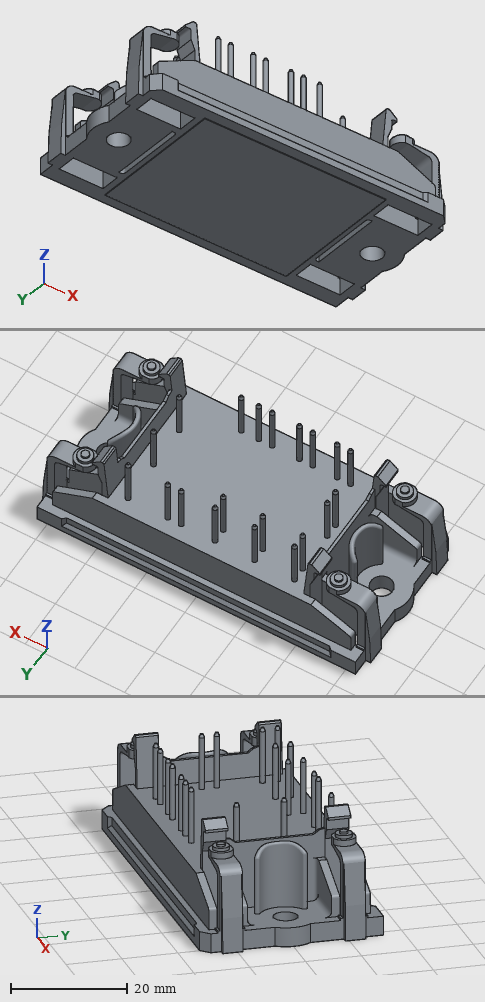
import cadquery as cq
import math

plate_length = 39.2
plate_width = 28.25
plate_thickness = 0.2
frame_length = 64.0
frame_width = 32.5
frame_bottom = plate_thickness
frame_top = 3.7
corner_chamfer = 1.6
overall_length = 66.0
hole_diameter = 4.3
hole_x = 27.45
lobe_radius = overall_length / 2 - hole_x

recess_length = 54.1
recess_bottom = 1.6
recess_depth = 0.63
recess_bevel_angle = 45

housing_width = 28.9
housing_top = 11.19
rib_tip_x = 30.0
rib_tip_top = 7.45
rib_tip_fillet = 0.65
slope_start_x = 22.0
rib_inner_y = 7.5
rib_foot_fillet = 1.1
end_slot_outer_x = 21.65
end_slot_inner_x = 20.65
end_slot_corner_radius = 0.6

arm_width = 4.0
arm_y = 10.99
arm_outer_x = frame_length / 2
arm_inner_x = 30.4
arm_top = 15.5
arm_shoulder_x = 30.0
arm_shoulder_z = 14.05
arm_inner_radius = 1.05
arm_inner_corner_z = 14.2
arm_end_bottom = 15.05
arm_wedge_width = 3.6
wedge_break_x = 32.8
wedge_break_z = 6.55
wedge_foot_x = 33.0
foot_width = 4.9
foot_top = 4.1
stud_x = 25.5
boss_diameter = 4.3
boss_top = 16.6
collar_diameter = 3.0
collar_top = 17.2
knob_diameter = 1.5
knob_top = 17.6

clip_inner_x = 19.7
clip_outer_x = 20.9
clip_tip_inner_x = 20.5
clip_tip_outer_x = 21.25
clip_top = 20.6
clip_neck_x = 21.7
clip_neck_bottom = 16.55
clip_neck_foot = 14.65
tooth_x = 22.9
tooth_top = 19.2
tooth_bottom = 18.75
clip_tip_chamfer = 0.25
tooth_root_fillet = 0.4
wall_top = 15.5
wall_shoulder_top = 16.5
wall_flat_half_width = 6.9
wall_knee_half_width = 7.9
wall_knee_top = 16.25

guard_inner_radius = 4.6
guard_outer_radius = 5.6
guard_half_angle = 61
guard_width = 10.15
guard_top = 15.6
guard_corner_radius = 3.3
guard_rim_fillet = 0.45

pin_diameter = 1.0
pin_shoulder = 20.65
pin_top = 21.25
pin_tip_chamfer = 0.25
pin_pitch = 2.7
left_column_x = -16.75
right_column_x = 16.7
back_row_y = 11.3
inner_row_y = back_row_y - pin_pitch
front_row_y = -11.15
back_row_x = (left_column_x, -8.745, -0.8, 6.0, 6.0 + pin_pitch, right_column_x)
inner_row_x = back_row_x[:3]
front_pair_x = (-14.45, -6.85, 1.3)
front_single_x = 7.5
left_column_y = (0.4, 0.4 - pin_pitch)
right_column_y = (2.85, -5.7)


def box(x_min, x_max, y_min, y_max, z_min, z_max):
    """Box given by its limits along each axis."""
    size = (x_max - x_min, y_max - y_min, z_max - z_min)
    return cq.Workplane("XY").box(*size, centered=False).translate((x_min, y_min, z_min))


def cylinder(x, y, diameter, z_min, z_max):
    """Upright cylinder between two heights."""
    disc = cq.Workplane("XY", origin=(x, y, z_min)).circle(diameter / 2)
    return disc.extrude(z_max - z_min)


def prism_along_y(outline, y_center, width):
    """Extrude an XZ sketch along Y, centred on y_center."""
    return outline.extrude(width / 2, both=True).translate((0, y_center, 0))


def both_ends(end_part):
    """A feature at the -X end together with its mirror image at the +X end."""
    return end_part.union(end_part.mirror("YZ"))


def make_frame():
    frame = box(-frame_length / 2, frame_length / 2, -frame_width / 2, frame_width / 2,
                frame_bottom, frame_top)
    frame = frame.edges("|Z and <Y").chamfer(corner_chamfer)
    for x in (-hole_x, hole_x):
        frame = frame.union(cylinder(x, 0, 2 * lobe_radius, frame_bottom, frame_top))
    plate = box(-plate_length / 2, plate_length / 2, -plate_width / 2, plate_width / 2,
                0, plate_thickness)
    return frame.union(plate)


def make_side_recess():
    """Cutter for the -Y face; it is open at the top of the frame."""
    height = 2 * (frame_top - recess_bottom)
    center_z = recess_bottom + height / 2
    face = cq.Workplane("XZ", origin=(0, -frame_width / 2, center_z)).rect(recess_length, height)
    return face.extrude(-recess_depth, taper=recess_bevel_angle)


def make_housing():
    outline = cq.Workplane("XZ").polyline([
        (-rib_tip_x, frame_bottom),
        (-rib_tip_x, rib_tip_top),
        (-slope_start_x, housing_top),
        (slope_start_x, housing_top),
        (rib_tip_x, rib_tip_top),
        (rib_tip_x, frame_bottom),
    ]).close()
    housing = prism_along_y(outline, 0, housing_width)
    for side in ("<X", ">X"):
        housing = housing.faces(side).edges(">Z").fillet(rib_tip_fillet)
    return housing


def make_end_bay():
    """Cutter for the open bay between the inner ribs, rounded at the foot of the ribs."""
    bay = box(-overall_length / 2, -end_slot_outer_x, -rib_inner_y, rib_inner_y,
              frame_top, clip_top)
    return bay.edges("|X and <Z").fillet(rib_foot_fillet)


def make_end_slot():
    """Through slot between the bay floor and the clip wall, as wide as the bay."""
    slot = box(-end_slot_outer_x, -end_slot_inner_x, -rib_inner_y, rib_inner_y, 0, clip_top)
    return slot.edges("|Z and >X").fillet(end_slot_corner_radius)


def make_arm_window(y):
    """Through opening below an arm, between two ribs."""
    return box(-arm_inner_x, -clip_outer_x, y - arm_width / 2, y + arm_width / 2, 0, clip_top)


def make_arm(y):
    run = arm_outer_x - arm_shoulder_x
    drop = arm_top - arm_shoulder_z
    radius = (run ** 2 + drop ** 2) / (2 * drop)
    half_sweep = math.asin(run / radius) / 2
    shoulder_middle = (-arm_shoulder_x - radius * math.sin(half_sweep),
                       arm_top - radius * (1 - math.cos(half_sweep)))

    outline = (
        cq.Workplane("XZ")
        .moveTo(-stud_x, arm_end_bottom)
        .lineTo(-arm_inner_x, arm_inner_corner_z)
        .lineTo(-arm_inner_x, frame_bottom)
        .lineTo(-arm_outer_x, frame_bottom)
        .lineTo(-arm_outer_x, arm_shoulder_z)
        .threePointArc(shoulder_middle, (-arm_shoulder_x, arm_top))
        .lineTo(-stud_x, arm_top)
        .close()
    )
    arm = prism_along_y(outline, y, arm_width)
    inner_corner = cq.selectors.NearestToPointSelector((-arm_inner_x, y, arm_inner_corner_z))
    arm = arm.edges(inner_corner).fillet(arm_inner_radius)

    wedge = cq.Workplane("XZ").polyline([
        (-arm_outer_x, frame_bottom),
        (-wedge_foot_x, frame_bottom),
        (-wedge_break_x, wedge_break_z),
        (-arm_outer_x, arm_shoulder_z),
        (-arm_inner_x, arm_shoulder_z),
        (-arm_inner_x, frame_bottom),
    ]).close()
    arm = arm.union(prism_along_y(wedge, y, arm_wedge_width))
    foot = box(-arm_outer_x, -arm_inner_x, y - foot_width / 2, y + foot_width / 2,
               frame_bottom, foot_top)
    return arm.union(foot).union(make_stud(y))


def make_stud(y):
    """Boss trimmed flush with the arm sides, carrying a collar and a knob."""
    boss = cylinder(-stud_x, y, boss_diameter, arm_end_bottom, boss_top)
    boss = boss.intersect(box(-overall_length / 2, 0, y - arm_width / 2, y + arm_width / 2,
                              0, boss_top))
    collar = cylinder(-stud_x, y, collar_diameter, boss_top, collar_top)
    knob = cylinder(-stud_x, y, knob_diameter, collar_top, knob_top)
    return boss.union(collar).union(knob)


def make_clip(y):
    outline = cq.Workplane("XZ").polyline([
        (-clip_inner_x, frame_top),
        (-clip_inner_x, housing_top),
        (-clip_tip_inner_x, clip_top),
        (-clip_tip_outer_x, clip_top),
        (-tooth_x, tooth_top),
        (-tooth_x, tooth_bottom),
        (-clip_neck_x, tooth_bottom),
        (-clip_neck_x, clip_neck_bottom),
        (-clip_outer_x, clip_neck_foot),
        (-clip_outer_x, frame_top),
    ]).close()
    clip = prism_along_y(outline, y, arm_width)
    tooth_root = cq.selectors.NearestToPointSelector((-clip_neck_x, y, tooth_bottom))
    clip = clip.edges(tooth_root).fillet(tooth_root_fillet)
    return clip.edges("|Y").edges(">Z").edges(">X").chamfer(clip_tip_chamfer)


def make_clip_wall():
    """Thin wall between the clips, leaning like their backs and rising towards them."""
    slice_outline = cq.Workplane("XZ").polyline([
        (-end_slot_inner_x, frame_top),
        (-end_slot_inner_x, clip_top),
        (-clip_tip_inner_x, clip_top),
        (-clip_inner_x, housing_top),
        (-clip_inner_x, frame_top),
    ]).close()
    wall_half_width = arm_y - arm_width / 2
    slab = prism_along_y(slice_outline, 0, 2 * wall_half_width)
    elevation = cq.Workplane("YZ").polyline([
        (-wall_half_width, frame_top),
        (-wall_half_width, wall_shoulder_top),
        (-wall_knee_half_width, wall_knee_top),
        (-wall_flat_half_width, wall_top),
        (wall_flat_half_width, wall_top),
        (wall_knee_half_width, wall_knee_top),
        (wall_half_width, wall_shoulder_top),
        (wall_half_width, frame_top),
    ]).close().extrude(-overall_length / 2)
    return slab.intersect(elevation)


def make_guard():
    """Sector of a tube around the mounting hole, with an arched and rounded rim."""
    angle = math.radians(guard_half_angle)

    def on_arc(radius, direction):
        return (radius * math.cos(direction) - hole_x, radius * math.sin(direction))

    sector = (
        cq.Workplane("XY", origin=(0, 0, frame_bottom))
        .moveTo(*on_arc(guard_inner_radius, -angle))
        .threePointArc(on_arc(guard_inner_radius, 0), on_arc(guard_inner_radius, angle))
        .lineTo(*on_arc(guard_outer_radius, angle))
        .threePointArc(on_arc(guard_outer_radius, 0), on_arc(guard_outer_radius, -angle))
        .close()
        .extrude(guard_top - frame_bottom)
    )
    arch = box(-hole_x, 0, -guard_width / 2, guard_width / 2, 0, guard_top)
    arch = arch.edges("|X and >Z").fillet(guard_corner_radius)
    guard = sector.intersect(arch)
    return guard.edges("not <Z").fillet(guard_rim_fillet)


def make_pin(x, y):
    pin = cylinder(x, y, pin_diameter, frame_top, pin_top)
    return pin.faces(">Z").chamfer(pin_top - pin_shoulder, pin_tip_chamfer)


def pin_positions():
    positions = [(x, back_row_y) for x in back_row_x]
    positions += [(x, inner_row_y) for x in inner_row_x]
    positions += [(x + step, front_row_y) for x in front_pair_x for step in (0, pin_pitch)]
    positions += [(front_single_x, front_row_y)]
    positions += [(left_column_x, y) for y in left_column_y]
    positions += [(right_column_x, y) for y in right_column_y]
    return positions


result = make_frame()
recess = make_side_recess()
result = result.cut(recess).cut(recess.mirror("XZ"))
result = result.union(make_housing())
result = result.cut(both_ends(make_end_bay())).cut(both_ends(make_end_slot()))
for x in (-hole_x, hole_x):
    result = result.cut(cylinder(x, 0, hole_diameter, 0, frame_top))
result = result.union(both_ends(make_clip_wall())).union(both_ends(make_guard()))
for y in (-arm_y, arm_y):
    result = result.cut(both_ends(make_arm_window(y)))
    result = result.union(both_ends(make_arm(y))).union(both_ends(make_clip(y)))
for x, y in pin_positions():
    result = result.union(make_pin(x, y))